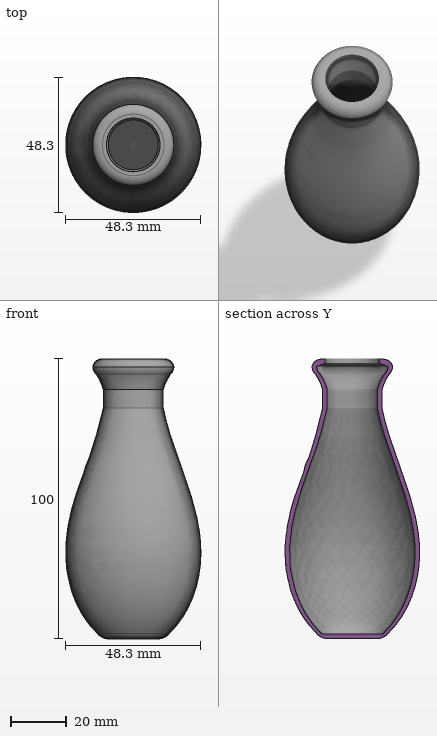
import cadquery as cq

HEIGHT = 100.0
WALL = 1.8

FOOT_RADIUS = 9.0
FOOT_EDGE_RADIUS = 12.8
FOOT_EDGE_HEIGHT = 1.9
FOOT_MIDDLE = (11.4, 0.7)
BELLY_RADIUS = 24.15
BELLY_HEIGHT = 30.0
LOWER_BELLY = (20.6, 13.3)
SHOULDER = (20.0, 53.1)
UPPER_SHOULDER = (13.7, 71.2)
NECK_RADIUS = 10.7
NECK_BOTTOM = 82.4
NECK_TOP = 89.1

FLARE_RADIUS = 13.2
FLARE_TOP = 94.5
FLARE_MIDDLE = (11.6, 91.6)
LIP_RADIUS = 14.5
LIP_HEIGHT = 97.2
LIP_UNDERSIDE = (14.1, 95.7)
LIP_SHOULDER = (13.4, 99.1)
RIM_RADIUS = 11.0

MOUTH_RADIUS = 19.2 / 2
MOUTH_DEPTH = 1.6
FLOOR_RADIUS = FOOT_EDGE_RADIUS - WALL


def inset(point):
    """Move a profile point towards the axis by the wall thickness."""
    radius, height = point
    return (radius - WALL, height)


def revolve_profile(profile):
    """Turn a closed (radius, height) profile about the vertical axis."""
    return profile.close().revolve(360, (0, 0, 0), (0, 1, 0))


belly_points = [
    LOWER_BELLY,
    (BELLY_RADIUS, BELLY_HEIGHT),
    SHOULDER,
    UPPER_SHOULDER,
    (NECK_RADIUS, NECK_BOTTOM),
]


def outer_body():
    """Solid vase with a rounded foot and a rounded, flared lip."""
    profile = (
        cq.Workplane("XZ")
        .lineTo(FOOT_RADIUS, 0)
        .threePointArc(FOOT_MIDDLE, (FOOT_EDGE_RADIUS, FOOT_EDGE_HEIGHT))
        .spline(belly_points, includeCurrent=True)
        .lineTo(NECK_RADIUS, NECK_TOP)
        .threePointArc(FLARE_MIDDLE, (FLARE_RADIUS, FLARE_TOP))
        .threePointArc(LIP_UNDERSIDE, (LIP_RADIUS, LIP_HEIGHT))
        .threePointArc(LIP_SHOULDER, (RIM_RADIUS, HEIGHT))
        .lineTo(0, HEIGHT)
    )
    return revolve_profile(profile)


def hollow():
    """Cavity that follows the outer wall and opens through a round mouth."""
    profile = (
        cq.Workplane("XZ")
        .moveTo(0, FOOT_EDGE_HEIGHT)
        .lineTo(FLOOR_RADIUS, FOOT_EDGE_HEIGHT)
        .spline([inset(point) for point in belly_points], includeCurrent=True)
        .lineTo(NECK_RADIUS - WALL, NECK_TOP)
        .threePointArc(inset(FLARE_MIDDLE), inset((FLARE_RADIUS, FLARE_TOP)))
        .threePointArc(inset(LIP_UNDERSIDE), inset((LIP_RADIUS, LIP_HEIGHT)))
        .lineTo(MOUTH_RADIUS, HEIGHT - MOUTH_DEPTH)
        .lineTo(MOUTH_RADIUS, HEIGHT)
        .lineTo(0, HEIGHT)
    )
    return revolve_profile(profile)


result = outer_body().cut(hollow())